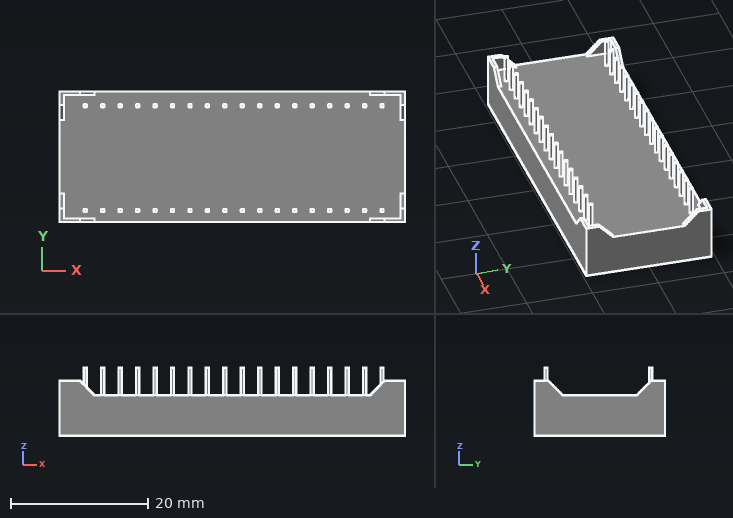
import cadquery as cq

length = 50.3
width = 19.0
total_height = 9.95
deck_height = 5.95
corner_height = 8.05

end_wall_thickness = 0.65
side_wall_thickness = 0.5
side_wall_top_length = 3.0
end_wall_top_length = 2.0
slope_run = 2.1

pin_diameter = 0.5
pin_count = 18
pin_pitch = 2.54
row_spacing = 15.25
pin_offset_x = 0.2
pin_offset_y = -0.2

wall_height = corner_height - deck_height


def wall_profile(plane, span, top_length):
    """Sketch, at one end of a span, a wall whose free end slopes down to the deck."""
    outer = span / 2
    return (
        cq.Workplane(plane, origin=(0, 0, deck_height))
        .moveTo(-outer, 0)
        .lineTo(-outer + top_length + slope_run, 0)
        .lineTo(-outer + top_length, wall_height)
        .lineTo(-outer, wall_height)
        .close()
    )


def corner_walls():
    """Make the L-shaped pair of walls at the -X, -Y corner."""
    side_wall = (
        wall_profile("XZ", length, side_wall_top_length)
        .extrude(side_wall_thickness)
        .translate((0, -width / 2 + side_wall_thickness, 0))
    )
    end_wall = (
        wall_profile("YZ", width, end_wall_top_length)
        .extrude(end_wall_thickness)
        .translate((-length / 2, 0, 0))
    )
    return side_wall.union(end_wall)


def pins():
    """Make both pin rows, set slightly off centre and rising from the deck to the full height."""
    return (
        cq.Workplane("XY", origin=(pin_offset_x, pin_offset_y, deck_height))
        .rarray(pin_pitch, row_spacing, pin_count, 2)
        .circle(pin_diameter / 2)
        .extrude(total_height - deck_height)
    )


result = cq.Workplane("XY").box(length, width, deck_height, centered=(True, True, False))

near_left = corner_walls()
left_walls = near_left.union(near_left.mirror("XZ"))
result = result.union(left_walls).union(left_walls.mirror("YZ"))

result = result.union(pins())